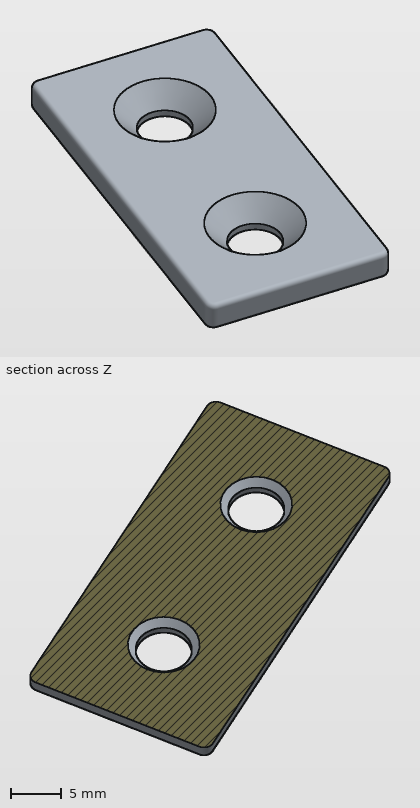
import cadquery as cq

length = 40.0
width = length / 2
thickness = 3.0
corner_radius = 1.0
rim_radius = corner_radius / 2

hole_spacing = length / 2
hole_diameter = 5.5
countersink_diameter = 10.0
countersink_angle = 90.0


def rounded_plate():
    plate = cq.Workplane("XY").box(length, width, thickness, centered=(True, True, False))
    plate = plate.edges("|Z").fillet(corner_radius)
    return plate.faces("<Z or >Z").edges().fillet(rim_radius)


def cut_screw_holes(plate):
    return (
        plate.faces(">Z")
        .workplane(origin=(0, 0, thickness))
        .rarray(hole_spacing, 0.4, 2, 1)
        .cskHole(hole_diameter, countersink_diameter, countersink_angle)
    )


result = cut_screw_holes(rounded_plate())